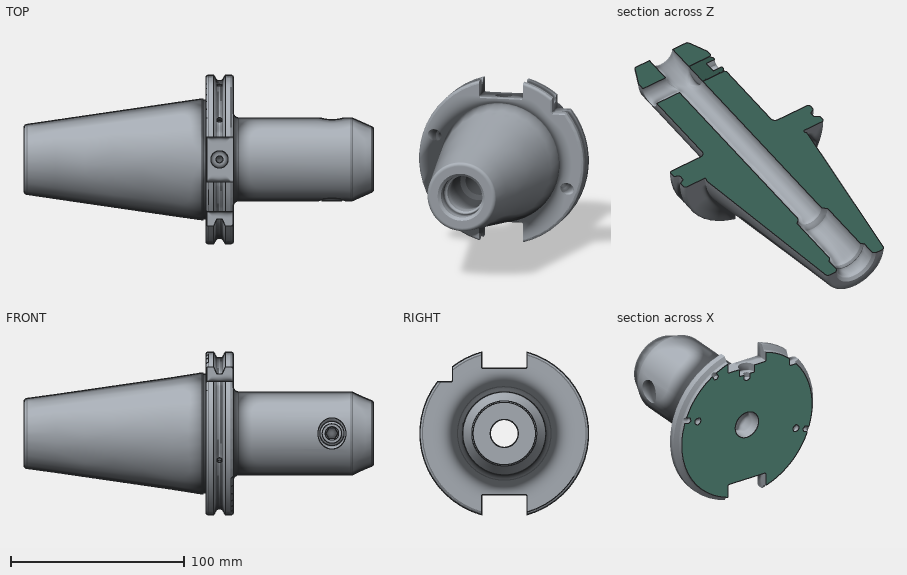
import cadquery as cq
import math

GAUGE_LENGTH = 101.75
PROJECTION = 100.0
TAPER_LENGTH = 102.4
LARGE_END_RADIUS = 69.85 / 2
TAPER_RATIO = 7 / 24
TAPER_END_FILLET = 2.0
TAPER_LAND = 1.0
NECK_DEPTH = 0.6

FLANGE_RADIUS = 97.5 / 2
FLANGE_OFFSET = 3.2
FLANGE_END = 19.1
FLANGE_FILLET = 1.5
GROOVE_OFFSET = 11.1
GROOVE_FLOOR_RADIUS = 45.6
GROOVE_FLOOR_WIDTH = 3.1
GROOVE_HALF_ANGLE = 30.0
GROOVE_FILLET = 1.0

SHANK_RADIUS = 24.0
SHANK_FILLET = 3.0
NOSE_CONE_LENGTH = 12.5
NOSE_SHOULDER_FILLET = 1.8
NOSE_RADIUS = 18.8
NOSE_CHAMFER = 0.8

BORE_RADIUS = 8.0
DRAWBAR_BORE_RADIUS = 12.25
DRAWBAR_BORE_DEPTH = 10.0
DRAWBAR_CHAMFER = 1.6
THREAD_LEAD_RADIUS = 11.8
THREAD_RADIUS = 10.6
THREAD_DEPTH = 45.0

SLOT_WIDTH = 26.0
UPPER_SLOT_FLOOR = 37.7
LOWER_SLOT_FLOOR = 35.4
CORNER_NOTCH_Y = 30.0
CORNER_NOTCH_Z = 29.9
SLOT_CORNER_FILLET = 0.6
SLOT_EDGE_CHAMFER = 0.6

DRILL_POINT_ANGLE = 118.0
CHIP_HOLE_RADIUS = 5.0
CHIP_HOLE_DEPTH = 4.6
CHIP_PILOT_RADIUS = 2.0
CHIP_PILOT_DEPTH = 3.0

COOLANT_ANGLE = 19.8
COOLANT_PITCH_RADIUS = 41.6
COOLANT_RADIUS = 3.3
COOLANT_DEPTH = 4.0
COOLANT_CHANNEL_RADIUS = 2.0
COOLANT_CHANNEL_DEPTH = 10.0
COOLANT_TILT = 36.0
COOLANT_OVERRUN = 5.0
GROOVE_HOLE_ANGLES = (COOLANT_ANGLE, 60.0, COOLANT_ANGLE + 180)
GROOVE_HOLE_RADIUS = 1.5
GROOVE_HOLE_DEPTH = 3.0
GROOVE_HOLE_OVERRUN = 1.0

SCREW_FROM_NOSE = 24.0
SCREW_RADIUS = 7.0
SCREW_CHAMFER = 1.4
COUNTERSINK_HALF_WIDTH = 8.1
COUNTERSINK_ASPECT = 1.42
COUNTERSINK_DEPTH = 4.0
COUNTERSINK_OVERRUN = 1.0
SCREW_HEAD_Y = -23.9
HEX_ACROSS_FLATS = 6.0
HEX_DEPTH = 6.0
HEX_MOUTH_RADIUS = 3.9

LENGTH = GAUGE_LENGTH + PROJECTION
FLANGE_X0 = GAUGE_LENGTH + FLANGE_OFFSET
FLANGE_X1 = GAUGE_LENGTH + FLANGE_END
FLANGE_WIDTH = FLANGE_X1 - FLANGE_X0
GROOVE_X = GAUGE_LENGTH + GROOVE_OFFSET
SMALL_END_RADIUS = LARGE_END_RADIUS - TAPER_LENGTH * TAPER_RATIO / 2
SCREW_X = LENGTH - SCREW_FROM_NOSE


def revolve_about_x(outline):
    return outline.close().revolve(360, (0, 0, 0), (1, 0, 0))


def taper():
    land_x = TAPER_LENGTH + TAPER_LAND
    neck_radius = LARGE_END_RADIUS - NECK_DEPTH
    outline = (
        cq.Workplane("XY").moveTo(0, 0).lineTo(0, SMALL_END_RADIUS)
        .lineTo(TAPER_LENGTH, LARGE_END_RADIUS).lineTo(land_x, LARGE_END_RADIUS)
        .lineTo(land_x, neck_radius).lineTo(FLANGE_X0, neck_radius)
        .lineTo(FLANGE_X0, 0)
    )
    return revolve_about_x(outline).faces("<X").edges().fillet(TAPER_END_FILLET)


def flange():
    disc = (
        cq.Workplane("YZ").workplane(offset=FLANGE_X0).circle(FLANGE_RADIUS)
        .extrude(FLANGE_WIDTH).edges().fillet(FLANGE_FILLET)
    )
    depth = FLANGE_RADIUS - GROOVE_FLOOR_RADIUS
    half_floor = GROOVE_FLOOR_WIDTH / 2
    half_top = half_floor + depth * math.tan(math.radians(GROOVE_HALF_ANGLE))
    groove = revolve_about_x(
        cq.Workplane("XY").moveTo(GROOVE_X - half_floor, GROOVE_FLOOR_RADIUS)
        .lineTo(GROOVE_X + half_floor, GROOVE_FLOOR_RADIUS)
        .lineTo(GROOVE_X + half_top, FLANGE_RADIUS).lineTo(GROOVE_X - half_top, FLANGE_RADIUS)
    )
    floor_edges = cq.selectors.RadiusNthSelector(0)
    return disc.cut(groove.edges(floor_edges).fillet(GROOVE_FILLET))


def shank():
    fillet_drop = SHANK_FILLET * (1 - math.sqrt(0.5))
    cone_x = LENGTH - NOSE_CONE_LENGTH
    outline = (
        cq.Workplane("XY").moveTo(FLANGE_X1, 0).lineTo(FLANGE_X1, SHANK_RADIUS + SHANK_FILLET)
        .threePointArc((FLANGE_X1 + fillet_drop, SHANK_RADIUS + fillet_drop),
                       (FLANGE_X1 + SHANK_FILLET, SHANK_RADIUS))
        .lineTo(cone_x, SHANK_RADIUS)
        .lineTo(LENGTH - NOSE_CHAMFER, NOSE_RADIUS)
        .lineTo(LENGTH, NOSE_RADIUS - NOSE_CHAMFER)
        .lineTo(LENGTH, 0)
    )
    body = revolve_about_x(outline)
    shoulder = cq.selectors.NearestToPointSelector((cone_x, 0, 0))
    return body.edges(shoulder).fillet(NOSE_SHOULDER_FILLET)


def bore():
    chamfered = DRAWBAR_BORE_RADIUS + DRAWBAR_CHAMFER
    lead_step = THREAD_LEAD_RADIUS - THREAD_RADIUS
    thread_step = THREAD_RADIUS - BORE_RADIUS
    return revolve_about_x(
        cq.Workplane("XY").moveTo(0, 0).lineTo(0, chamfered)
        .lineTo(DRAWBAR_CHAMFER, DRAWBAR_BORE_RADIUS)
        .lineTo(DRAWBAR_BORE_DEPTH, DRAWBAR_BORE_RADIUS)
        .lineTo(DRAWBAR_BORE_DEPTH, THREAD_LEAD_RADIUS)
        .lineTo(DRAWBAR_BORE_DEPTH + lead_step, THREAD_RADIUS)
        .lineTo(THREAD_DEPTH, THREAD_RADIUS)
        .lineTo(THREAD_DEPTH + thread_step, BORE_RADIUS)
        .lineTo(LENGTH, BORE_RADIUS).lineTo(LENGTH, 0)
    )


def slot_cutter(width, height):
    """Slot along the flange: floor on z = 0, open upwards, centred on y = 0."""
    channel = (
        cq.Workplane("XY").box(FLANGE_WIDTH, width, height, centered=(False, True, False))
        .edges("|X and <Z").fillet(SLOT_CORNER_FILLET)
    )
    edge_break = (
        cq.Workplane("XZ").moveTo(0, -SLOT_EDGE_CHAMFER).lineTo(SLOT_EDGE_CHAMFER, 0)
        .lineTo(0, 0).close().extrude(width / 2 - SLOT_CORNER_FILLET, both=True)
    )
    return channel.union(edge_break).translate((FLANGE_X0, 0, 0))


def drive_slots():
    depth = FLANGE_RADIUS - LOWER_SLOT_FLOOR
    slot = slot_cutter(SLOT_WIDTH, depth)
    upper = slot.translate((0, 0, UPPER_SLOT_FLOOR))
    lower = slot.translate((0, 0, LOWER_SLOT_FLOOR)).rotate((0, 0, 0), (1, 0, 0), 180)
    return upper, lower


def corner_notch():
    width = FLANGE_RADIUS - CORNER_NOTCH_Y
    wall_break = (
        cq.Workplane("XY").moveTo(0, SLOT_EDGE_CHAMFER).lineTo(SLOT_EDGE_CHAMFER, 0).lineTo(0, 0)
        .close().extrude(width - SLOT_CORNER_FILLET)
        .translate((FLANGE_X0, width / 2, SLOT_CORNER_FILLET))
    )
    cutter = slot_cutter(width, width).union(wall_break)
    return cutter.translate((0, -CORNER_NOTCH_Y - width / 2, CORNER_NOTCH_Z))


def drill(radius, depth, origin, direction):
    """Blind hole with a drill point beyond its full-diameter depth."""
    start = cq.Vector(*origin)
    way = cq.Vector(*direction)
    point_length = radius / math.tan(math.radians(DRILL_POINT_ANGLE / 2))
    cylinder = cq.Solid.makeCylinder(radius, depth, start, way)
    point = cq.Solid.makeCone(radius, 0, point_length, start + way * depth, way)
    return cq.Workplane(cylinder).union(cq.Workplane(point))


def chip_hole():
    mouth = cq.Workplane("XY", origin=(GROOVE_X, 0, UPPER_SLOT_FLOOR))
    hole = mouth.circle(CHIP_HOLE_RADIUS).extrude(-CHIP_HOLE_DEPTH)
    floor = UPPER_SLOT_FLOOR - CHIP_HOLE_DEPTH
    return hole.union(drill(CHIP_PILOT_RADIUS, CHIP_PILOT_DEPTH, (GROOVE_X, 0, floor), (0, 0, -1)))


def coolant_hole():
    tilt = math.radians(COOLANT_TILT)
    way = cq.Vector(math.cos(tilt), -math.sin(tilt), 0)
    mouth = cq.Vector(FLANGE_X0, COOLANT_PITCH_RADIUS, 0)
    start = mouth - way * COOLANT_OVERRUN
    entry = drill(COOLANT_RADIUS, COOLANT_DEPTH + COOLANT_OVERRUN, start.toTuple(), way.toTuple())
    return entry.union(drill(COOLANT_CHANNEL_RADIUS, COOLANT_CHANNEL_DEPTH, mouth.toTuple(), way.toTuple()))


def groove_hole():
    start = (GROOVE_X, GROOVE_FLOOR_RADIUS + GROOVE_HOLE_OVERRUN, 0)
    return drill(GROOVE_HOLE_RADIUS, GROOVE_HOLE_DEPTH + GROOVE_HOLE_OVERRUN, start, (0, -1, 0))


def screw_hole():
    """Radial hole through both walls for the clamp screw, countersunk at -Y."""
    hole = cq.Workplane("XZ", origin=(SCREW_X, 0, 0)).circle(SCREW_RADIUS).extrude(SHANK_RADIUS, both=True)
    outer = COUNTERSINK_HALF_WIDTH + COUNTERSINK_OVERRUN
    inner = COUNTERSINK_HALF_WIDTH - COUNTERSINK_DEPTH
    countersink = (
        cq.Workplane("XZ", origin=(SCREW_X, -SHANK_RADIUS - COUNTERSINK_OVERRUN, 0))
        .ellipse(outer, outer * COUNTERSINK_ASPECT)
        .workplane(offset=-COUNTERSINK_DEPTH - COUNTERSINK_OVERRUN)
        .ellipse(inner, inner * COUNTERSINK_ASPECT).loft(ruled=True)
    )
    return hole.union(countersink)


def make_holder():
    body = taper().union(flange()).union(shank()).cut(bore())
    for slot in drive_slots():
        body = body.cut(slot)
    body = body.cut(corner_notch()).cut(chip_hole())
    for angle in (COOLANT_ANGLE, COOLANT_ANGLE + 180):
        body = body.cut(coolant_hole().rotate((0, 0, 0), (1, 0, 0), angle))
    for angle in GROOVE_HOLE_ANGLES:
        body = body.cut(groove_hole().rotate((0, 0, 0), (1, 0, 0), angle))
    return body.cut(screw_hole())


def make_screw():
    length = -SCREW_HEAD_Y - BORE_RADIUS
    head = cq.Workplane("XZ", origin=(SCREW_X, SCREW_HEAD_Y, 0))
    pin = head.circle(SCREW_RADIUS).extrude(-length).faces("<Y").edges().chamfer(SCREW_CHAMFER)
    corner_radius = HEX_ACROSS_FLATS / 2 / math.cos(math.pi / 6)
    socket = head.polygon(6, 2 * corner_radius).extrude(-HEX_DEPTH)
    mouth = cq.Solid.makeCone(HEX_MOUTH_RADIUS, 0, HEX_MOUTH_RADIUS,
                              cq.Vector(SCREW_X, SCREW_HEAD_Y, 0), cq.Vector(0, 1, 0))
    return pin.cut(socket).cut(cq.Workplane(mouth))


holder = make_holder()
clamp_screw = make_screw()
result = cq.Compound.makeCompound([holder.val(), clamp_screw.val()])